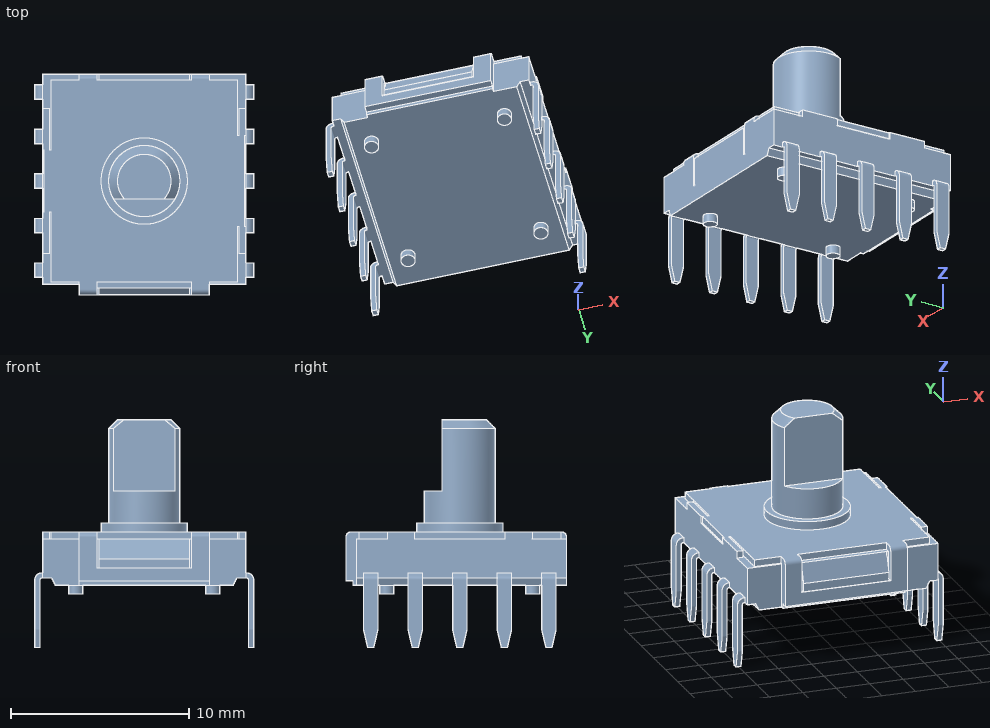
import cadquery as cq


HOUSING_HALF_X = 5.7
HOUSING_BACK_Y = 6.0
HOUSING_FRONT_Y = -5.8
HOUSING_TOP = 2.6
SIDE_BOTTOM = 0.4
STRIP_INNER_X = 5.2
BASE_HALF_X = 5.0

COVER_TOP = 3.0
COVER_HALF_X = 5.23
COVER_HALF_Y = 5.67
COVER_EAR_X = 5.62
LEFT_EAR_HALF_Y = 1.75
RIGHT_EAR_HALF_Y = 2.55

BLOCK_INNER_X = 5.33
BLOCK_END_Y = 4.07

CLIP_HALF_X = 3.65
PAD_FRONT_Y = -6.0
STRAP_FRONT_Y = -6.4
STRAP_BOTTOM = 0.25
WINDOW_HALF_X = 2.65
WINDOW_BOTTOM = 0.98
FOLD_RADIUS = 0.3
CATCH_HALF_X = 2.55
CATCH_FRONT_Y = -6.37
CATCH_SLOPE_BOTTOM = 1.48

COLLAR_DIAMETER = 4.85
COLLAR_TOP = 3.5
SHAFT_DIAMETER = 4.0
SHAFT_TOP = 9.3
SHAFT_CHAMFER = 0.5
FLAT_Y = -1.0
FLAT_BOTTOM = 5.3

PEG_DIAMETER = 0.8
PEG_LENGTH = 0.5
PEG_X = 3.85
PEG_Y = 4.1

PIN_COUNT = 5
PIN_PITCH = 2.5
PIN_WIDTH = 0.82
PIN_TIP_WIDTH = 0.35
PIN_THICKNESS = 0.3
PIN_OUTER_X = 6.15
PIN_BEND_RADIUS = 0.4
PIN_TOP = SIDE_BOTTOM + PIN_THICKNESS
PIN_TAPER_START = -2.5
PIN_BOTTOM = -3.5
PIN_EMBED = 0.5


def box(x0, x1, y0, y1, z0, z1):
    """Box between two opposite corners."""
    return cq.Workplane("XY").box(x1 - x0, y1 - y0, z1 - z0, centered=False).translate((x0, y0, z0))


def cylinder(diameter, z0, z1, x=0, y=0):
    """Vertical cylinder between two heights."""
    return cq.Workplane("XY", origin=(x, y, z0)).circle(diameter / 2).extrude(z1 - z0)


def make_housing():
    """Block with a raised strip under each pin row, side blocks, a front pad and two slits at the back."""
    section = [
        (-BASE_HALF_X, 0),
        (BASE_HALF_X, 0),
        (STRIP_INNER_X, SIDE_BOTTOM),
        (HOUSING_HALF_X, SIDE_BOTTOM),
        (HOUSING_HALF_X, HOUSING_TOP),
        (-HOUSING_HALF_X, HOUSING_TOP),
        (-HOUSING_HALF_X, SIDE_BOTTOM),
        (-STRIP_INNER_X, SIDE_BOTTOM),
    ]
    length = HOUSING_BACK_Y - HOUSING_FRONT_Y
    housing = cq.Workplane("XZ", origin=(0, HOUSING_BACK_Y, 0)).polyline(section).close().extrude(length)
    housing = housing.union(box(-CLIP_HALF_X, CLIP_HALF_X, PAD_FRONT_Y, HOUSING_FRONT_Y, 0, HOUSING_TOP))
    left_block = box(-HOUSING_HALF_X, -BLOCK_INNER_X, LEFT_EAR_HALF_Y, BLOCK_END_Y, HOUSING_TOP, COVER_TOP)
    right_block = box(BLOCK_INNER_X, HOUSING_HALF_X, RIGHT_EAR_HALF_Y, BLOCK_END_Y, HOUSING_TOP, COVER_TOP)
    for block in (left_block, right_block):
        housing = housing.union(block).union(block.mirror("XZ"))
    slit = box(CATCH_HALF_X, WINDOW_HALF_X, COVER_HALF_Y, HOUSING_BACK_Y, WINDOW_BOTTOM, HOUSING_TOP)
    return housing.cut(slit).cut(slit.mirror("YZ"))


def make_cover():
    """Plate with side ears, two rounded tabs at the back and a folded, windowed strap at the front."""
    cover = box(-COVER_HALF_X, COVER_HALF_X, -COVER_HALF_Y, COVER_HALF_Y, HOUSING_TOP, COVER_TOP)
    cover = cover.union(box(-COVER_EAR_X, 0, -LEFT_EAR_HALF_Y, LEFT_EAR_HALF_Y, HOUSING_TOP, COVER_TOP))
    cover = cover.union(box(0, COVER_EAR_X, -RIGHT_EAR_HALF_Y, RIGHT_EAR_HALF_Y, HOUSING_TOP, COVER_TOP))

    back = box(-CLIP_HALF_X, CLIP_HALF_X, 0, HOUSING_BACK_Y, HOUSING_TOP, COVER_TOP)
    back = back.edges(">Y and >Z").fillet(FOLD_RADIUS)
    back = back.cut(box(-WINDOW_HALF_X, WINDOW_HALF_X, COVER_HALF_Y, HOUSING_BACK_Y, HOUSING_TOP, COVER_TOP))

    front = box(-CLIP_HALF_X, CLIP_HALF_X, STRAP_FRONT_Y, 0, HOUSING_TOP, COVER_TOP)
    front = front.union(box(-CLIP_HALF_X, CLIP_HALF_X, STRAP_FRONT_Y, PAD_FRONT_Y, STRAP_BOTTOM, COVER_TOP))
    front = front.edges("<Y and >Z").fillet(FOLD_RADIUS)
    window = box(-WINDOW_HALF_X, WINDOW_HALF_X, STRAP_FRONT_Y, -COVER_HALF_Y, WINDOW_BOTTOM, COVER_TOP)
    return cover.union(back).union(front.cut(window))


def make_catch():
    """Wedge on the front pad that fills the strap window."""
    section = [
        (PAD_FRONT_Y, HOUSING_TOP),
        (CATCH_FRONT_Y, CATCH_SLOPE_BOTTOM),
        (CATCH_FRONT_Y, WINDOW_BOTTOM),
        (PAD_FRONT_Y, WINDOW_BOTTOM),
    ]
    wedge = cq.Workplane("YZ", origin=(-CATCH_HALF_X, 0, 0)).polyline(section).close()
    return wedge.extrude(2 * CATCH_HALF_X)


def make_shaft():
    """Collar and chamfered shaft with a flat facing -Y."""
    shaft = cylinder(SHAFT_DIAMETER, COVER_TOP, SHAFT_TOP).faces(">Z").chamfer(SHAFT_CHAMFER)
    radius = SHAFT_DIAMETER / 2
    shaft = shaft.cut(box(-radius, radius, -radius, FLAT_Y, FLAT_BOTTOM, SHAFT_TOP))
    return shaft.union(cylinder(COLLAR_DIAMETER, COVER_TOP, COLLAR_TOP))


def make_pin():
    """Right-hand pin at Y = 0: leaves the housing, bends down and tapers to its tip."""
    inner_x = PIN_OUTER_X - PIN_THICKNESS
    root_x = HOUSING_HALF_X - PIN_EMBED
    bend_x = PIN_OUTER_X - PIN_BEND_RADIUS
    bend_z = PIN_TOP - PIN_BEND_RADIUS
    strip = (
        cq.Workplane("XZ", origin=(0, PIN_WIDTH / 2, 0))
        .moveTo(root_x, PIN_TOP)
        .lineTo(bend_x, PIN_TOP)
        .radiusArc((PIN_OUTER_X, bend_z), PIN_BEND_RADIUS)
        .lineTo(PIN_OUTER_X, PIN_BOTTOM)
        .lineTo(inner_x, PIN_BOTTOM)
        .lineTo(inner_x, bend_z)
        .radiusArc((bend_x, SIDE_BOTTOM), PIN_THICKNESS - PIN_BEND_RADIUS)
        .lineTo(root_x, SIDE_BOTTOM)
        .close()
        .extrude(PIN_WIDTH)
    )
    outline = [
        (-PIN_WIDTH / 2, PIN_TOP),
        (-PIN_WIDTH / 2, PIN_TAPER_START),
        (-PIN_TIP_WIDTH / 2, PIN_BOTTOM),
        (PIN_TIP_WIDTH / 2, PIN_BOTTOM),
        (PIN_WIDTH / 2, PIN_TAPER_START),
        (PIN_WIDTH / 2, PIN_TOP),
    ]
    return strip.intersect(cq.Workplane("YZ").polyline(outline).close().extrude(PIN_OUTER_X))


result = make_housing().union(make_cover()).union(make_catch()).union(make_shaft())

for peg_x in (-PEG_X, PEG_X):
    for peg_y in (-PEG_Y, PEG_Y):
        result = result.union(cylinder(PEG_DIAMETER, -PEG_LENGTH, SIDE_BOTTOM, peg_x, peg_y))

right_pin = make_pin()
left_pin = right_pin.mirror("YZ")
for index in range(PIN_COUNT):
    pin_y = (index - (PIN_COUNT - 1) / 2) * PIN_PITCH
    for pin in (left_pin, right_pin):
        result = result.union(pin.translate((0, pin_y, 0)))